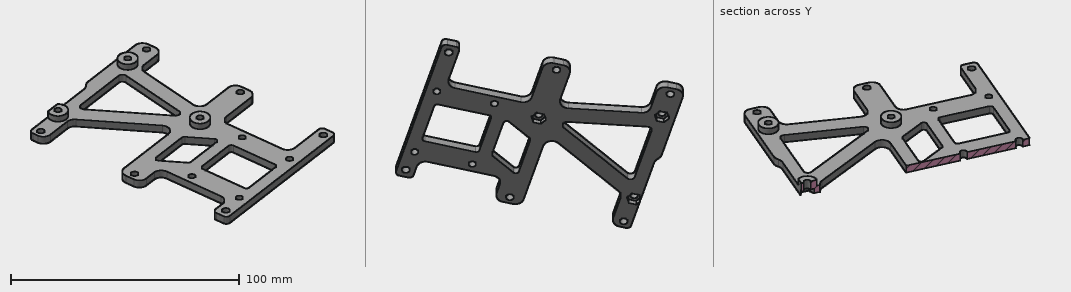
import cadquery as cq
import math

length = 109.6
half_width = 83.0 / 2
overall_height = 7.0
plate_thickness = 4.0

outline_radius = 4.0
arm_end_radius = 2.0
brace_window_radius = 2.0
deck_window_radius = 1.4

left_arm_upper_right = 12.0
left_arm_lower_right = 10.7
left_arm_step = 2.0
step_top_y = 3.5
step_length = 5.7
left_arm_hole_x = 5.8

middle_arm_left = 51.4
middle_arm_width = 12.4
middle_arm_right = middle_arm_left + middle_arm_width
middle_arm_center = middle_arm_left + middle_arm_width / 2

right_arm_width = 8.0
right_arm_left = length - right_arm_width
right_arm_half_width = 39.1

deck_center_y = -6.0
deck_height = 44.2
deck_top = deck_center_y + deck_height / 2
deck_bottom = deck_center_y - deck_height / 2
deck_window_left = 77.7
deck_window_length = 25.9
deck_window_height = 21.9
deck_window_center_x = deck_window_left + deck_window_length / 2

brace_width = 7.9
upper_brace_angle = math.radians(-11.0)
lower_brace_angle = math.radians(30.8)
upper_brace_start_y = 23.2
lower_brace_start_y = -24.9
brace_window_left = 8.0

slanted_window_left = 57.8
slanted_window_right = 71.8
slanted_window_top_start_y = -37.8
slanted_window_bottom_start_y = -59.6

arm_hole_diameter = 3.4
arm_hole_y = 38.0
right_arm_hole_diameter = 3.5
right_arm_hole_x = 105.8
right_arm_hole_y = 35.1
deck_hole_diameter = 3.2
deck_hole_pitch_x = 26.2
deck_hole_pitch_y = 36.2
deck_hole_left = 78.6

standoff_diameter = 9.0
standoff_hole_diameter = 3.2
nut_corner_diameter = 6.6
nut_pocket_depth = 2.4
outer_standoff_y = 24.5
standoff_centers = [
    (left_arm_hole_x, outer_standoff_y),
    (middle_arm_center, 9.1),
    (4.8, -outer_standoff_y),
]


def upper_brace_y(x, side):
    """Height of the upper brace at x: side +1 is its upper edge, -1 its lower edge."""
    half_rise = brace_width / 2 / math.cos(upper_brace_angle)
    return upper_brace_start_y + x * math.tan(upper_brace_angle) + side * half_rise


def lower_brace_y(x, side):
    """Height of the lower brace at x: side +1 is its upper edge, -1 its lower edge."""
    half_rise = brace_width / 2 / math.cos(lower_brace_angle)
    return lower_brace_start_y + x * math.tan(lower_brace_angle) + side * half_rise


def add_rounded_corner(sketch, previous, corner, following, radius):
    """Draw a line to the corner and an arc around it."""
    to_previous = (cq.Vector(*previous) - cq.Vector(*corner)).normalized()
    to_following = (cq.Vector(*following) - cq.Vector(*corner)).normalized()
    half_angle = to_previous.getAngle(to_following) / 2
    setback = radius / math.tan(half_angle)
    bisector = (to_previous + to_following).normalized()
    arc_start = cq.Vector(*corner) + to_previous * setback
    arc_middle = cq.Vector(*corner) + bisector * (radius / math.sin(half_angle) - radius)
    arc_end = cq.Vector(*corner) + to_following * setback
    sketch = sketch.lineTo(arc_start.x, arc_start.y)
    return sketch.threePointArc((arc_middle.x, arc_middle.y), (arc_end.x, arc_end.y))


def add_rounded_path(sketch, start, corners, end):
    """Continue the sketch from start through (x, y, radius) corners towards end."""
    points = [start] + [(x, y) for x, y, _ in corners] + [end]
    for index, (_, _, radius) in enumerate(corners):
        sketch = add_rounded_corner(sketch, *points[index:index + 3], radius)
    return sketch


def window(corners, radius):
    """Through-cutter with the same radius at every corner."""
    start = tuple((a + b) / 2 for a, b in zip(corners[0], corners[-1]))
    rounded = [(x, y, radius) for x, y in corners]
    sketch = cq.Workplane("XY").moveTo(*start)
    return add_rounded_path(sketch, start, rounded, start).close().extrude(plate_thickness)


def plate_blank():
    step_top = (0, step_top_y)
    step_middle = (left_arm_step / 2, step_top_y - step_length / 2)
    step_bottom = (left_arm_step, step_top_y - step_length)
    corners = [
        (0, half_width, outline_radius),
        (left_arm_upper_right, half_width, outline_radius),
        (left_arm_upper_right, upper_brace_y(left_arm_upper_right, 1), outline_radius),
        (middle_arm_left, upper_brace_y(middle_arm_left, 1), outline_radius),
        (middle_arm_left, half_width, outline_radius),
        (middle_arm_right, half_width, outline_radius),
        (middle_arm_right, deck_top, outline_radius),
        (right_arm_left, deck_top, outline_radius),
        (right_arm_left, right_arm_half_width, arm_end_radius),
        (length, right_arm_half_width, arm_end_radius),
        (length, -right_arm_half_width, arm_end_radius),
        (right_arm_left, -right_arm_half_width, arm_end_radius),
        (right_arm_left, deck_bottom, outline_radius),
        (middle_arm_right, deck_bottom, outline_radius),
        (middle_arm_right, -half_width, outline_radius),
        (middle_arm_left, -half_width, outline_radius),
        (middle_arm_left, lower_brace_y(middle_arm_left, -1), outline_radius),
        (left_arm_lower_right, lower_brace_y(left_arm_lower_right, -1), outline_radius),
        (left_arm_lower_right, -half_width, outline_radius),
        (left_arm_step, -half_width, arm_end_radius),
    ]
    sketch = cq.Workplane("XY").moveTo(*step_top)
    sketch = add_rounded_path(sketch, step_top, corners, step_bottom).lineTo(*step_bottom)
    sketch = sketch.tangentArcPoint(step_middle, relative=False)
    sketch = sketch.tangentArcPoint(step_top, relative=False)
    return sketch.close().extrude(plate_thickness)


def brace_window():
    """Triangular opening between the left arm and the two braces."""
    slope_difference = math.tan(lower_brace_angle) - math.tan(upper_brace_angle)
    tip_x = (upper_brace_y(0, -1) - lower_brace_y(0, 1)) / slope_difference
    corners = [
        (brace_window_left, upper_brace_y(brace_window_left, -1)),
        (tip_x, upper_brace_y(tip_x, -1)),
        (brace_window_left, lower_brace_y(brace_window_left, 1)),
    ]
    return window(corners, brace_window_radius)


def slanted_window():
    left_rise = slanted_window_left * math.tan(lower_brace_angle)
    right_rise = slanted_window_right * math.tan(lower_brace_angle)
    corners = [
        (slanted_window_left, slanted_window_top_start_y + left_rise),
        (slanted_window_right, slanted_window_top_start_y + right_rise),
        (slanted_window_right, slanted_window_bottom_start_y + right_rise),
        (slanted_window_left, slanted_window_bottom_start_y + left_rise),
    ]
    return window(corners, deck_window_radius)


def deck_window():
    left = deck_window_center_x - deck_window_length / 2
    right = deck_window_center_x + deck_window_length / 2
    bottom = deck_center_y - deck_window_height / 2
    top = deck_center_y + deck_window_height / 2
    corners = [(left, top), (right, top), (right, bottom), (left, bottom)]
    return window(corners, deck_window_radius)


def holes(centers, diameter):
    return cq.Workplane("XY").pushPoints(centers).circle(diameter / 2).extrude(overall_height)


def arm_holes():
    centers = [(x, side * arm_hole_y) for x in (left_arm_hole_x, middle_arm_center) for side in (1, -1)]
    return holes(centers, arm_hole_diameter)


def right_arm_holes():
    centers = [(right_arm_hole_x, side * right_arm_hole_y) for side in (1, -1)]
    return holes(centers, right_arm_hole_diameter)


def deck_holes():
    columns = (deck_hole_left, deck_hole_left + deck_hole_pitch_x)
    rows = [deck_center_y + side * deck_hole_pitch_y / 2 for side in (1, -1)]
    return holes([(x, y) for x in columns for y in rows], deck_hole_diameter)


def standoffs():
    """Round standoffs; the lower left one is cut flush with the edge of its arm."""
    height = overall_height - plate_thickness
    plane = cq.Workplane("XY").workplane(offset=plate_thickness)
    cylinders = plane.pushPoints(standoff_centers).circle(standoff_diameter / 2).extrude(height)
    beside_lower_arm = plane.moveTo(0, -half_width / 2).rect(2 * left_arm_step, half_width).extrude(height)
    return cylinders.cut(beside_lower_arm)


def nut_pockets():
    plane = cq.Workplane("XY").pushPoints(standoff_centers)
    return plane.polygon(6, nut_corner_diameter).extrude(nut_pocket_depth)


result = plate_blank()
for opening in (brace_window(), slanted_window(), deck_window()):
    result = result.cut(opening)
result = result.union(standoffs())
for cutter in (arm_holes(), right_arm_holes(), deck_holes(), nut_pockets()):
    result = result.cut(cutter)
result = result.cut(holes(standoff_centers, standoff_hole_diameter))